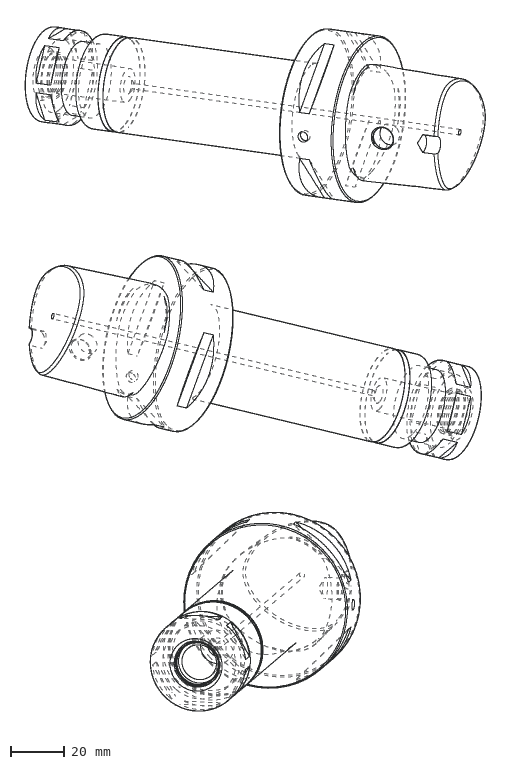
import cadquery as cq
import math

LIP_FRONT = 2.6
SHOULDER_X = 5.2
SHANK_START = 21.0
BAND_START = 31.0
BAND_END = 33.0
FLANGE_START = 113.0
FLANGE_END = 135.3
UNDERCUT_END = 136.8
TAPER_START = 137.4
TOTAL_LENGTH = 173.0

NECK_DIA = 28.0
LIP_DIA = 17.5
LIP_CHAMFER = 0.5
SHANK_DIA = 36.0
BAND_DEPTH = 0.2
FLANGE_DIA = 63.0
SHANK_FRONT_FILLET = 2.2
FLANGE_ROOT_FILLET = 3.0
FLANGE_CHAMFER = 0.5

LIP_BORE_DIA = 16.0
BORE_MOUTH_DIA = 13.3
BORE_BOTTOM_DIA = 12.8
BORE_BOTTOM = 34.6
COUNTERSINK_DIA = 7.0
COUNTERSINK_ANGLE = 90.0
COOLANT_DIA = 2.0

LOBE_RISE = 1.4
COUPLING_RADIUS = 22.0
TAPER = 1 / 40
COUPLING_CHAMFER_LENGTH = 1.2
COUPLING_CHAMFER_DEPTH = 0.7
UNDERCUT_DIA = 44.3
UNDERCUT_INSET = 0.2
CURVE_POINTS = 48

GROOVE_X = 123.0
GROOVE_FLOOR_WIDTH = 4.0
GROOVE_FLOOR_RADIUS = 27.7
GROOVE_WALL_ANGLE = 30.0
GROOVE_COUNT = 4
DRILL_POINT_ANGLE = 118.0
INDEX_HOLE_DIA = 4.0
INDEX_HOLE_DEPTH = 2.0
SIDE_HOLE_X = 150.7
SIDE_HOLE_DIA = 8.1
SIDE_HOLE_DEPTH = 6.0
SIDE_HOLE_RIM_DIA = 9.3
END_HOLE_DIA = 7.0
END_HOLE_DEPTH = 5.9

NUT_LENGTH = 13.8
NUT_DIA = 36.0
NUT_FILLET = 1.7
NUT_MOUTH_DIA = 20.0
NUT_MOUTH_LENGTH = 1.4
SLOT_FRONT = 5.2
SLOT_REAR = 11.2
SLOT_FLOOR_RADIUS = 16.5
SLOT_WALL_ANGLE = 20.0
SLOT_COUNT = 6


def turned(points):
    """Solid of revolution about the X axis from (x, radius) points."""
    return cq.Workplane("XY").polyline(points).close().revolve(360, (0, 0, 0), (1, 0, 0))


def cylinder(x_start, x_end, diameter):
    """Cylinder along the X axis."""
    return cq.Workplane("YZ", origin=(x_start, 0, 0)).circle(diameter / 2).extrude(x_end - x_start)


def cone_length(radius_change, included_angle):
    """Axial length over which a cone changes by radius_change."""
    return radius_change / math.tan(math.radians(included_angle / 2))


def drill(entry, direction, diameter, depth):
    """Cone-tipped drill: full diameter for depth past entry, and clear of the surface before it."""
    radius = diameter / 2
    profile = [
        (0, -diameter),
        (radius, -diameter),
        (radius, depth),
        (0, depth + cone_length(radius, DRILL_POINT_ANGLE)),
    ]
    across = cq.Vector(0, 0, 1)
    side = cq.Vector(*direction)
    plane = cq.Plane(origin=entry, xDir=across, normal=across.cross(side))
    return cq.Workplane(plane).polyline(profile).close().revolve(360, (0, 0, 0), (0, 1, 0))


def chordal_groove(x_start, x_end, floor_radius, wall_angle, outer_radius, roll):
    """Flat-floored groove with sloping end walls, cut straight across a round rim."""
    height = outer_radius - floor_radius
    flare = height * math.tan(math.radians(wall_angle))
    profile = [
        (x_start, floor_radius),
        (x_end, floor_radius),
        (x_end + flare, outer_radius),
        (x_start - flare, outer_radius),
    ]
    cutter = cq.Workplane("XZ").polyline(profile).close().extrude(outer_radius, both=True)
    return cutter.rotate((0, 0, 0), (1, 0, 0), roll)


def coupling_radius(x):
    """Mean radius of the tapered coupling at station x."""
    return COUPLING_RADIUS - (x - FLANGE_END) * TAPER


def lobed_wire(x, mean_radius):
    """Three-lobed outline of constant width, with one lobe toward +Y."""
    points = []
    for i in range(CURVE_POINTS):
        angle = 2 * math.pi * i / CURVE_POINTS
        reach = mean_radius + LOBE_RISE * math.cos(3 * angle)
        slope = -3 * LOBE_RISE * math.sin(3 * angle)
        y = reach * math.cos(angle) - slope * math.sin(angle)
        z = reach * math.sin(angle) + slope * math.cos(angle)
        points.append(cq.Vector(x, y, z))
    return cq.Wire.assembleEdges([cq.Edge.makeSpline(points, periodic=True)])


def lobed_section(x_start, radius_start, x_end, radius_end):
    """Straight-sided stretch between two lobed outlines of given mean radius."""
    wires = [lobed_wire(x_start, radius_start), lobed_wire(x_end, radius_end)]
    return cq.Workplane(cq.Solid.makeLoft(wires, True))


def make_coupling():
    """Trimmed undercut, short bevel, long taper and end chamfer."""
    chamfer_start = TOTAL_LENGTH - COUPLING_CHAMFER_LENGTH
    end_radius = coupling_radius(chamfer_start)
    root_radius = COUPLING_RADIUS - UNDERCUT_INSET
    root = lobed_section(FLANGE_END, root_radius, UNDERCUT_END, root_radius)
    root = root.intersect(cylinder(FLANGE_END, UNDERCUT_END, UNDERCUT_DIA))
    taper_radius = coupling_radius(TAPER_START)
    bevel = lobed_section(UNDERCUT_END, root_radius, TAPER_START, taper_radius)
    taper = lobed_section(TAPER_START, taper_radius, chamfer_start, end_radius)
    chamfer = lobed_section(chamfer_start, end_radius, TOTAL_LENGTH, end_radius - COUPLING_CHAMFER_DEPTH)
    return root.union(bevel).union(taper).union(chamfer)


def make_turned_body():
    """Lip, neck, shank with a shallow marking band, and flange."""
    shank = cylinder(SHANK_START, FLANGE_START, SHANK_DIA)
    shank = shank.faces("<X").edges().fillet(SHANK_FRONT_FILLET)
    band = cylinder(BAND_START, BAND_END, SHANK_DIA)
    shank = shank.cut(band.cut(cylinder(BAND_START, BAND_END, SHANK_DIA - 2 * BAND_DEPTH)))
    flange = cylinder(FLANGE_START, FLANGE_END, FLANGE_DIA).edges().chamfer(FLANGE_CHAMFER)

    shank_radius = SHANK_DIA / 2
    root_fillet = (
        cq.Workplane("XY")
        .moveTo(FLANGE_START - FLANGE_ROOT_FILLET, shank_radius)
        .radiusArc((FLANGE_START, shank_radius + FLANGE_ROOT_FILLET), -FLANGE_ROOT_FILLET)
        .lineTo(FLANGE_START, 0)
        .lineTo(FLANGE_START - FLANGE_ROOT_FILLET, 0)
        .close()
        .revolve(360, (0, 0, 0), (1, 0, 0))
    )
    lip = cylinder(LIP_FRONT, SHOULDER_X, LIP_DIA).faces("<X").edges().chamfer(LIP_CHAMFER)
    neck = cylinder(SHOULDER_X, SHANK_START, NECK_DIA)
    return lip.union(neck).union(shank).union(root_fillet).union(flange)


def make_bore():
    """Stepped bore with a countersunk coolant hole running out at the far end."""
    countersink_depth = cone_length((COUNTERSINK_DIA - COOLANT_DIA) / 2, COUNTERSINK_ANGLE)
    return turned([
        (LIP_FRONT, 0),
        (LIP_FRONT, LIP_BORE_DIA / 2),
        (SHOULDER_X, LIP_BORE_DIA / 2),
        (SHOULDER_X, BORE_MOUTH_DIA / 2),
        (BORE_BOTTOM, BORE_BOTTOM_DIA / 2),
        (BORE_BOTTOM, COUNTERSINK_DIA / 2),
        (BORE_BOTTOM + countersink_depth, COOLANT_DIA / 2),
        (TOTAL_LENGTH, COOLANT_DIA / 2),
        (TOTAL_LENGTH, 0),
    ])


def make_side_hole_rim(entry):
    """45-degree countersink that breaks the edge of the side hole."""
    depth = (SIDE_HOLE_RIM_DIA - SIDE_HOLE_DIA) / 2
    cone = cq.Solid.makeCone(
        SIDE_HOLE_RIM_DIA / 2, SIDE_HOLE_DIA / 2, depth, cq.Vector(*entry), cq.Vector(0, 1, 0)
    )
    return cq.Workplane(cone)


def make_holder():
    """Complete tool holder."""
    holder = make_turned_body().union(make_coupling()).cut(make_bore())

    for i in range(GROOVE_COUNT):
        holder = holder.cut(chordal_groove(
            GROOVE_X - GROOVE_FLOOR_WIDTH / 2,
            GROOVE_X + GROOVE_FLOOR_WIDTH / 2,
            GROOVE_FLOOR_RADIUS,
            GROOVE_WALL_ANGLE,
            FLANGE_DIA / 2,
            360 / GROOVE_COUNT * (i + 0.5),
        ))

    flange_side = (GROOVE_X, -FLANGE_DIA / 2, 0)
    holder = holder.cut(drill(flange_side, (0, 1, 0), INDEX_HOLE_DIA, INDEX_HOLE_DEPTH))

    side_hole_entry = (SIDE_HOLE_X, LOBE_RISE - coupling_radius(SIDE_HOLE_X), 0)
    holder = holder.cut(drill(side_hole_entry, (0, 1, 0), SIDE_HOLE_DIA, SIDE_HOLE_DEPTH))
    holder = holder.cut(make_side_hole_rim(side_hole_entry))

    end_hole_entry = (TOTAL_LENGTH, LOBE_RISE - coupling_radius(TOTAL_LENGTH - END_HOLE_DEPTH), 0)
    return holder.cut(drill(end_hole_entry, (-1, 0, 0), END_HOLE_DIA, END_HOLE_DEPTH))


def make_nut():
    """Cap nut that fits over the neck and lip of the holder."""
    nut = cylinder(0, NUT_LENGTH, NUT_DIA).edges().fillet(NUT_FILLET)
    nut = nut.cut(turned([
        (0, 0),
        (0, NUT_MOUTH_DIA / 2),
        (NUT_MOUTH_LENGTH, LIP_DIA / 2),
        (SHOULDER_X, LIP_DIA / 2),
        (SHOULDER_X, NECK_DIA / 2),
        (NUT_LENGTH, NECK_DIA / 2),
        (NUT_LENGTH, 0),
    ]))
    for i in range(SLOT_COUNT):
        nut = nut.cut(chordal_groove(
            SLOT_FRONT,
            SLOT_REAR,
            SLOT_FLOOR_RADIUS,
            SLOT_WALL_ANGLE,
            NUT_DIA / 2,
            360 / SLOT_COUNT * i,
        ))
    return nut


holder = make_holder()
nut = make_nut()

result = cq.Compound.makeCompound([holder.solids().val(), nut.solids().val()])